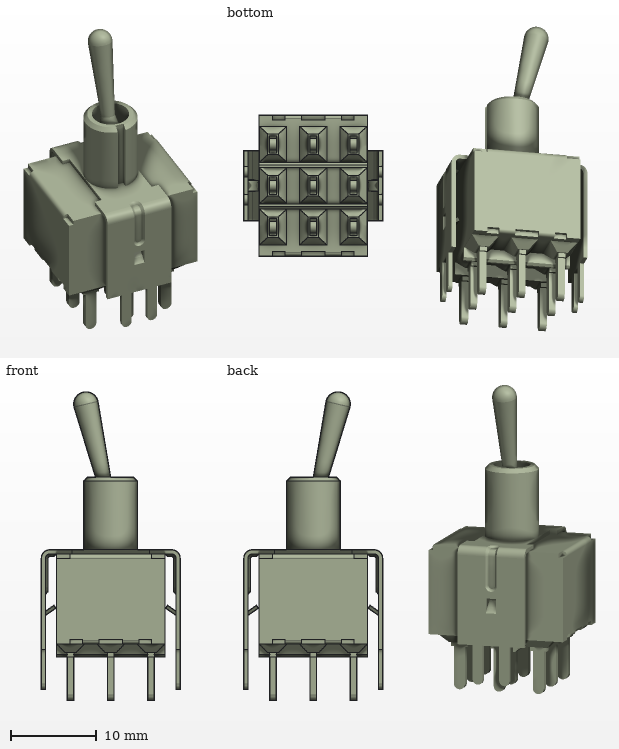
import cadquery as cq
import math


overall_x = 16.26
overall_y = 16.51
overall_z = 36.12

case_x = 12.7
case_height = 10.0
cover_thickness = 0.55
case_top = case_height + cover_thickness
cover_wall_x = 9.5
tab_half_width = 0.95
tab_round = 0.42

pin_pitch_x = 4.7
pin_pitch_y = 4.84
pin_thickness = 0.8
outer_pin_width = 1.35
middle_pin_width = 1.25
pin_bottom = -6.6
shoulder_width = 2.0
shoulder_bottom = -1.5
seat_height = 1.0
seat_top_x = 3.2
seat_top_y = 4.2
seat_bottom_x = 1.25
seat_bottom_y = 2.4

rail_outer_y = 2.7
rail_width = 0.55
rail_bottom = -1.5
rail_chamfer = 0.27

sheet = 0.5
bend_radius = 1.0
bracket_top = case_top + sheet
bracket_y = 8.2
bracket_waist_y = 6.4
bracket_waist_x = 9.06
leg_bottom = -0.62
tine_offset = 1.63
tine_width = 1.24
tine_bottom = -5.3

rib_width = 1.4
rib_floor_width = 0.8
rib_depth = 0.3
rib_bottom = 5.85
rib_inner_x = case_x / 2

latch_width = 1.25
window_bottom = 3.27
window_top = 5.03
tongue_root_bottom = 3.36
tongue_root_top = 3.86
tongue_tip_x = 6.42
tongue_tip_bottom = 4.2
tongue_tip_back = 0.22
tongue_tip_top = 4.56

bushing_radius = 6.35 / 2
bushing_top = 19.54
bushing_chamfer = 0.46
bore_radius = 4.35 / 2
keyway_width = 1.0
keyway_floor_x = 2.43

lever_tilt = 13.3
ball_radius = bore_radius
neck_base_radius = 1.2
neck_top_radius = 1.65 / 2
neck_length = 3.2
lever_tip_radius = 1.45
lever_length = 12.6
lever_top = pin_bottom + overall_z
ball_z = lever_top - lever_tip_radius - lever_length * math.cos(math.radians(lever_tilt))

sin_45 = math.sin(math.pi / 4)


def box(x0, x1, y0, y1, z0, z1):
    """Axis-aligned box between two opposite corners."""
    return cq.Workplane("XY").box(x1 - x0, y1 - y0, z1 - z0, centered=False).translate((x0, y0, z0))


def both_sides(shape, plane):
    """A shape together with its mirror image."""
    return shape.union(shape.mirror(plane))


def make_case():
    half_x = case_x / 2
    half_y = overall_y / 2
    wall_half = cover_wall_x / 2
    recess_y = half_y - cover_thickness
    body = box(-half_x, half_x, -recess_y, recess_y, 0, case_top)
    corner = box(wall_half, half_x, -half_y, half_y, 0, case_height)
    body = body.union(both_sides(corner, "YZ"))

    wall = box(-wall_half, wall_half, -half_y, half_y, cover_thickness, case_top)
    wall = wall.edges("|X and >Z").fillet(cover_thickness)
    body = body.union(wall)

    for x in (-pin_pitch_x / 2, pin_pitch_x / 2):
        tab = box(x - tab_half_width, x + tab_half_width, -half_y, half_y, 0, cover_thickness)
        body = body.union(tab.edges("|X and <Z").fillet(tab_round))
    return body


def make_rails():
    half_x = case_x / 2
    rail = box(-half_x, half_x, rail_outer_y - rail_width, rail_outer_y, rail_bottom, 0)
    rail = rail.edges("|X and >Y and <Z").chamfer(rail_chamfer)
    return both_sides(rail, "XZ")


def rounded_blade(width, thickness, bottom, top):
    """Flat blade in the YZ plane, centred on X and Y, with a fully round lower end."""
    half = width / 2
    return (
        cq.Workplane("YZ")
        .moveTo(-half, top)
        .lineTo(-half, bottom + half)
        .threePointArc((0, bottom), (half, bottom + half))
        .lineTo(half, top)
        .close()
        .extrude(thickness / 2, both=True)
    )


def make_terminal(width):
    seat = (
        cq.Workplane("XY")
        .rect(seat_top_x, seat_top_y)
        .workplane(offset=-seat_height)
        .rect(seat_bottom_x, seat_bottom_y)
        .loft()
    )
    half_t = pin_thickness / 2
    half_s = shoulder_width / 2
    shoulder = box(-half_t, half_t, -half_s, half_s, shoulder_bottom, 0)
    return seat.union(shoulder).union(rounded_blade(width, pin_thickness, pin_bottom, 0))


def make_terminals():
    terminals = cq.Workplane("XY")
    for row in (-1, 0, 1):
        terminal = make_terminal(outer_pin_width if row else middle_pin_width)
        for column in (-1, 0, 1):
            place = (column * pin_pitch_x, row * pin_pitch_y, 0)
            terminals = terminals.union(terminal.translate(place))
    return terminals


def pressed_rib(inset):
    """Tapered bar following the bracket bend at a given depth below its outer skin (+X side)."""
    skin_x = overall_x / 2 - inset
    skin_z = bracket_top - inset
    radius = bend_radius - inset
    end_z = rib_bottom + rib_width / 2
    end_x = rib_inner_x + rib_width / 2
    bend_mid = (skin_x - radius + radius * sin_45, skin_z - radius + radius * sin_45)
    path = (
        cq.Workplane("XZ")
        .moveTo(skin_x, end_z)
        .lineTo(skin_x, skin_z - radius)
        .threePointArc(bend_mid, (skin_x - radius, skin_z))
        .lineTo(end_x, skin_z)
    )
    half = rib_width / 2
    floor_half = rib_floor_width / 2
    section = [
        (skin_x, -half),
        (skin_x, half),
        (skin_x - rib_depth, floor_half),
        (skin_x - rib_depth, -floor_half),
    ]
    bar = cq.Workplane("XY").workplane(offset=end_z).polyline(section).close().sweep(path)
    lower_centre = cq.Vector(skin_x, 0, end_z)
    upper_centre = cq.Vector(end_x, 0, skin_z)
    lower_end = cq.Solid.makeCone(half, floor_half, rib_depth, lower_centre, cq.Vector(-1, 0, 0))
    upper_end = cq.Solid.makeCone(half, floor_half, rib_depth, upper_centre, cq.Vector(0, 0, -1))
    return bar.union(cq.Workplane(lower_end)).union(cq.Workplane(upper_end))


def make_latch_tongue():
    outer_x = overall_x / 2
    inner_x = outer_x - sheet
    profile = [
        (outer_x, window_bottom),
        (inner_x, window_bottom),
        (inner_x, tongue_root_bottom),
        (tongue_tip_x, tongue_tip_bottom),
        (tongue_tip_x + tongue_tip_back, tongue_tip_top),
        (inner_x, tongue_root_top),
    ]
    return cq.Workplane("XZ").polyline(profile).close().extrude(latch_width / 2, both=True)


def make_bracket():
    half_x = overall_x / 2
    half_y = bracket_y / 2
    waist_x = bracket_waist_x / 2
    waist_y = bracket_waist_y / 2

    outer = box(-half_x, half_x, -half_y, half_y, leg_bottom, bracket_top)
    outer = outer.edges("|Y and >Z").fillet(bend_radius)
    inner = box(sheet - half_x, half_x - sheet, -half_y, half_y, leg_bottom, case_top)
    inner = inner.edges("|Y and >Z").fillet(bend_radius - sheet)
    bracket = outer.cut(inner)

    notch = box(-waist_x, waist_x, waist_y, half_y, case_top, bracket_top)
    bracket = bracket.cut(both_sides(notch, "XZ"))

    for y in (-tine_offset, tine_offset):
        tine = rounded_blade(tine_width, sheet, tine_bottom, leg_bottom + tine_width)
        tine = tine.translate((half_x - sheet / 2, y, 0))
        bracket = bracket.union(both_sides(tine, "YZ"))

    half_latch = latch_width / 2
    window = box(half_x - sheet, half_x, -half_latch, half_latch, window_bottom, window_top)
    bracket = bracket.cut(both_sides(window, "YZ"))
    bracket = bracket.union(both_sides(make_latch_tongue(), "YZ"))

    bracket = bracket.union(both_sides(pressed_rib(sheet), "YZ"))
    return bracket.cut(both_sides(pressed_rib(0), "YZ"))


def make_bushing():
    """Bushing whose bore is closed by the upper half of the lever ball."""
    bushing = (
        cq.Workplane("XZ")
        .moveTo(0, case_top)
        .lineTo(bushing_radius, case_top)
        .lineTo(bushing_radius, bushing_top - bushing_chamfer)
        .lineTo(bushing_radius - bushing_chamfer, bushing_top)
        .lineTo(bore_radius, bushing_top)
        .lineTo(bore_radius, ball_z)
        .threePointArc((ball_radius * sin_45, ball_z + ball_radius * sin_45), (0, ball_z + ball_radius))
        .close()
        .revolve(360, (0, 0, 0), (0, 1, 0))
    )
    half_key = keyway_width / 2
    keyway = box(keyway_floor_x, overall_x / 2, -half_key, half_key, bracket_top, bushing_top)
    return bushing.cut(keyway)


def make_lever():
    """Neck, widening shaft and round tip, turned about the lever axis and then tilted."""
    neck_base = math.sqrt(ball_radius**2 - neck_base_radius**2)
    lever = (
        cq.Workplane("XZ")
        .lineTo(neck_base_radius, 0)
        .lineTo(neck_base_radius, neck_base)
        .lineTo(neck_top_radius, neck_length)
        .lineTo(lever_tip_radius, lever_length)
        .threePointArc(
            (lever_tip_radius * sin_45, lever_length + lever_tip_radius * sin_45),
            (0, lever_length + lever_tip_radius),
        )
        .close()
        .revolve(360, (0, 0, 0), (0, 1, 0))
    )
    return lever.rotate((0, 0, 0), (0, 1, 0), -lever_tilt).translate((0, 0, ball_z))


result = (
    make_case()
    .union(make_rails())
    .union(make_terminals())
    .union(make_bracket())
    .union(make_bushing())
    .union(make_lever())
)